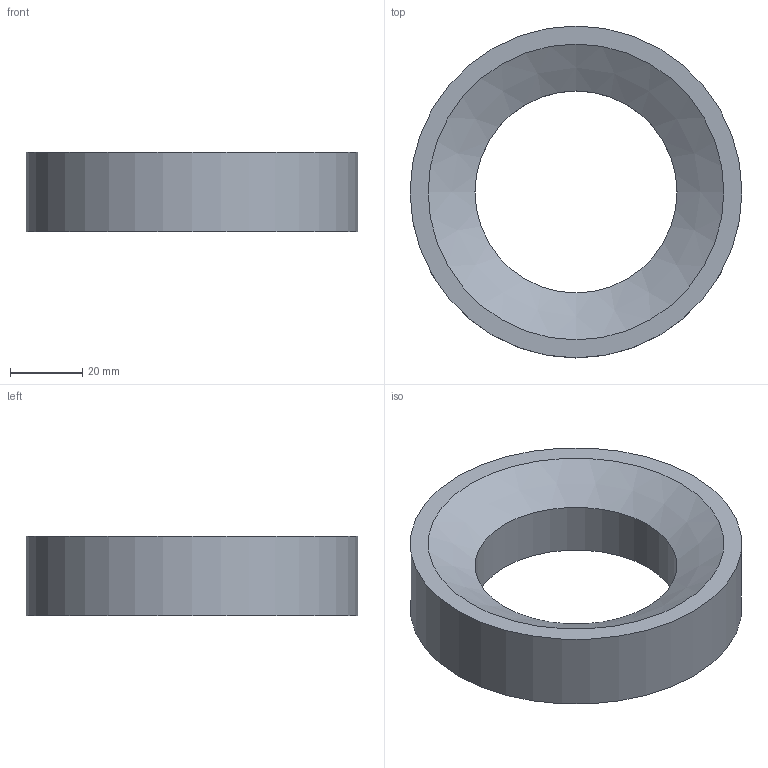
import cadquery as cq
import math

outer_diameter = 92.0
height = 22.0
bore_diameter = 56.0
seat_diameter = 82.0
seat_angle = 120.0

outer_radius = outer_diameter / 2
bore_radius = bore_diameter / 2
seat_radius = seat_diameter / 2
seat_depth = (seat_radius - bore_radius) / math.tan(math.radians(seat_angle / 2))


def make_ring():
    """Revolve the ring's half section about Z, with its base at Z = 0."""
    section = (
        cq.Workplane("XZ")
        .moveTo(bore_radius, 0)
        .lineTo(outer_radius, 0)
        .lineTo(outer_radius, height)
        .lineTo(seat_radius, height)
        .lineTo(bore_radius, height - seat_depth)
        .close()
    )
    return section.revolve(360, (0, 0, 0), (0, 1, 0))


result = make_ring()